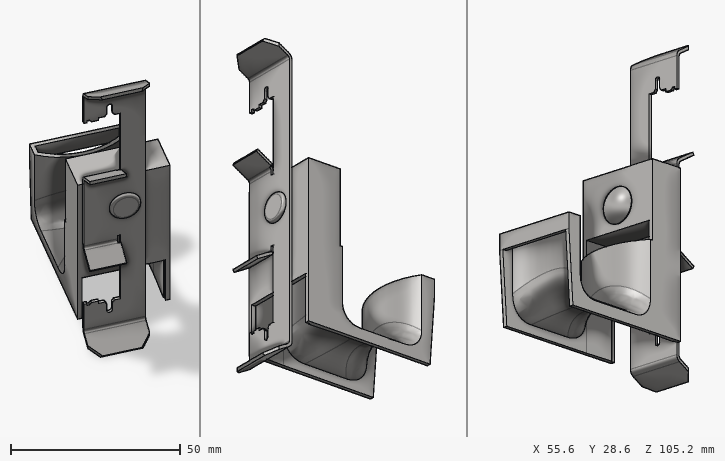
import cadquery as cq
import math


width = 28.6
half_width = width / 2
wall = 1.4
block_height = 54.2
block_depth = 11.9
arm_height = 28.7
arm_front_top = -47.2
arm_front_bottom = -45.5
band_height = 5.2
cavity_height = 35.2
block_back_side_wall = 1.7
back_wall_bottom = 16.3

channel_front = -37.9
channel_back = -17.2
channel_floor = 8.2
saddle_radius = 25.0
channel_fillet = 7.9

rivet_height = 43.0
shank_radius = 4.8
head_radius = 5.8
head_rim = 0.2
dome_rise = 2.7
tail_length = 1.0
tail_fillet = 0.9

sheet = 1.0
clip_left = 6.4
clip_right = -12.7
clip_half_height = 52.6
bend_inner_radius = 1.3
leaf_slope = 30
end_reach = 8.4
end_chamfer_across = 3.5
end_chamfer_along = 4.0
tab_half_height = 18.2
tab_reach = 7.3
window_left = -1.4
window_top = 37.4
relief_width = 0.9
relief_bottom = 11.8
keyhole_center = -4.7
keyhole_half_width = 0.8
keyhole_mouth_half_width = 1.5
keyhole_top = 42.0
keyhole_mouth_height = 0.9
lip_left = -8.1
lip_drop = 0.9
nick_left = -10.3
nick_flat_left = -10.9
nick_right = -11.7
nick_depth = 0.7


def box_between(x_range, y_range, z_range):
    """Axis-aligned box spanning the three ranges."""
    sizes = [high - low for low, high in (x_range, y_range, z_range)]
    corner = (x_range[0], y_range[0], z_range[0])
    return cq.Workplane("XY").box(*sizes, centered=False).translate(corner)


def channel(offset):
    """U channel with bulging walls and floor, grown outward by offset."""
    radius = saddle_radius - offset
    front = channel_front - offset
    back = channel_back + offset
    floor = channel_floor - offset
    y_range = (-half_width, half_width)

    sag = radius - math.sqrt(radius**2 - half_width**2)
    body = box_between((front - sag, back + sag), y_range, (floor - sag, arm_height))
    for center_x in (front - radius, back + radius):
        body = body.cut(cq.Workplane("XY").center(center_x, 0).circle(radius).extrude(block_height))
    floor_cylinder = (
        cq.Workplane("YZ", origin=(arm_front_top, 0, 0))
        .center(0, floor - radius)
        .circle(radius)
        .extrude(-arm_front_top)
    )
    body = body.cut(floor_cylinder)

    corners = [
        edge
        for edge in body.edges().vals()
        if min(edge.BoundingBox().xlen, edge.BoundingBox().ylen, edge.BoundingBox().zlen) > 1
    ]
    return body.newObject(corners).fillet(channel_fillet + offset)


def make_housing():
    band_bottom = arm_height - band_height
    outline = [
        (0, 0),
        (0, block_height),
        (-block_depth, block_height),
        (-block_depth, arm_height),
        (arm_front_top, arm_height),
        (arm_front_top, band_bottom),
        (arm_front_bottom, 0),
    ]
    body = cq.Workplane("XZ", origin=(0, half_width, 0)).polyline(outline).close().extrude(width)

    inner_y = (wall - half_width, half_width - wall)
    arm_cavity = box_between((arm_front_top + wall, -block_depth), inner_y, (0, arm_height))
    block_cavity = (
        cq.Workplane("XY")
        .polyline([
            (-block_depth, half_width - wall),
            (-wall, half_width - block_back_side_wall),
            (-wall, block_back_side_wall - half_width),
            (-block_depth, wall - half_width),
        ])
        .close()
        .extrude(cavity_height)
    )
    front_opening = box_between((arm_front_top, arm_front_top + wall), inner_y, (0, band_bottom))
    back_opening = box_between((-wall, 0), inner_y, (0, back_wall_bottom))
    hollow = arm_cavity.union(block_cavity).union(front_opening).union(back_opening)

    body = body.cut(hollow.cut(channel(wall))).cut(channel(0))
    rivet_hole = cq.Workplane("YZ").center(0, rivet_height).circle(shank_radius).extrude(-block_depth)
    return body.cut(rivet_hole)


def leaf(reach, tip_height, bend_range, flat_range):
    """Leaf bent away from the housing; returns its bend, its flat and the height where the bend starts."""
    slope = math.radians(leaf_slope)
    outer_radius = bend_inner_radius + sheet
    rise = math.cos(slope)
    run = math.sin(slope)

    def on_bend(radius, angle):
        return (outer_radius - radius * math.cos(angle), bend_start + radius * math.sin(angle))

    tip_near = (reach - sheet * run, tip_height)
    tip_far = (reach, tip_height - sheet * rise)
    bend_end_x = outer_radius * (1 - run)
    bend_end_height = tip_height - (tip_near[0] - bend_end_x) * math.tan(slope)
    bend_start = bend_end_height - outer_radius * rise

    turn = math.pi / 2 - slope
    near_end = on_bend(outer_radius, turn)
    far_end = on_bend(bend_inner_radius, turn)

    def plane_at(y_range):
        return cq.Workplane("XZ", origin=(0, y_range[1], 0))

    bend = (
        plane_at(bend_range)
        .moveTo(0, bend_start)
        .threePointArc(on_bend(outer_radius, turn / 2), near_end)
        .lineTo(*far_end)
        .threePointArc(on_bend(bend_inner_radius, turn / 2), (sheet, bend_start))
        .close()
        .extrude(bend_range[1] - bend_range[0])
    )
    flat = (
        plane_at(flat_range)
        .polyline([near_end, tip_near, tip_far, far_end])
        .close()
        .extrude(flat_range[1] - flat_range[0])
    )
    return bend, flat, bend_start


def make_clip():
    full_range = (clip_right, clip_left)
    tab_range = (clip_right, window_left)
    tab_bend_range = (clip_right, window_left - relief_width)

    end_bend, end_flat, end_start = leaf(end_reach, clip_half_height, full_range, full_range)
    tab_bend, tab_flat, tab_start = leaf(tab_reach, tab_half_height, tab_bend_range, tab_range)

    chamfer_x = end_chamfer_along * math.cos(math.radians(leaf_slope))
    for side, inward in ((clip_left, -1), (clip_right, 1)):
        corner = (
            cq.Workplane("XY")
            .polyline([
                (end_reach, side),
                (end_reach, side + inward * end_chamfer_across),
                (end_reach - chamfer_x, side),
            ])
            .close()
            .extrude(clip_half_height)
        )
        end_flat = end_flat.cut(corner)

    plate = box_between((0, sheet), full_range, (0, end_start))
    keyhole_mouth_top = window_top + keyhole_mouth_height
    window = (
        cq.Workplane("YZ")
        .moveTo(window_left, relief_bottom)
        .lineTo(window_left, window_top)
        .lineTo(keyhole_center + keyhole_mouth_half_width, window_top)
        .lineTo(keyhole_center + keyhole_half_width, keyhole_mouth_top)
        .lineTo(keyhole_center + keyhole_half_width, keyhole_top - keyhole_half_width)
        .threePointArc(
            (keyhole_center, keyhole_top),
            (keyhole_center - keyhole_half_width, keyhole_top - keyhole_half_width),
        )
        .lineTo(keyhole_center - keyhole_half_width, keyhole_mouth_top)
        .lineTo(keyhole_center - keyhole_mouth_half_width, window_top)
        .lineTo(lip_left, window_top)
        .lineTo(lip_left, window_top - lip_drop)
        .lineTo(nick_left, window_top - lip_drop)
        .lineTo(nick_flat_left, window_top - lip_drop + nick_depth)
        .lineTo(nick_right, window_top - lip_drop + nick_depth)
        .lineTo(nick_right, window_top - lip_drop)
        .lineTo(clip_right, window_top - lip_drop)
        .lineTo(clip_right, tab_start)
        .lineTo(window_left - relief_width, tab_start)
        .lineTo(window_left - relief_width, relief_bottom)
        .close()
        .extrude(sheet)
    )
    upper_half = plate.cut(window)
    for piece in (end_bend, end_flat, tab_bend, tab_flat):
        upper_half = upper_half.union(piece)

    clip = upper_half.union(upper_half.mirror("XY"))
    rivet_hole = cq.Workplane("YZ").circle(shank_radius).extrude(sheet)
    return clip.cut(rivet_hole).translate((0, 0, rivet_height))


def make_rivet():
    """Shank with a rounded tail and a low-rimmed domed head, turned about its own axis."""
    tail_end = sheet + tail_length
    dome_base = -block_depth - head_rim
    dome_radius = (head_radius**2 + dome_rise**2) / (2 * dome_rise)
    mid_angle = math.asin(head_radius / dome_radius) / 2
    dome_middle = (
        dome_base - dome_rise + dome_radius * (1 - math.cos(mid_angle)),
        dome_radius * math.sin(mid_angle),
    )
    rivet = (
        cq.Workplane("XY")
        .moveTo(dome_base - dome_rise, 0)
        .threePointArc(dome_middle, (dome_base, head_radius))
        .lineTo(-block_depth, head_radius)
        .lineTo(-block_depth, shank_radius)
        .lineTo(tail_end, shank_radius)
        .lineTo(tail_end, 0)
        .close()
        .revolve(360, (0, 0, 0), (1, 0, 0))
    )
    return rivet.faces(">X").edges().fillet(tail_fillet).translate((0, 0, rivet_height))


housing = make_housing()
clip = make_clip()
rivet = make_rivet()

result = cq.Compound.makeCompound([body.solids().val() for body in (housing, clip, rivet)])